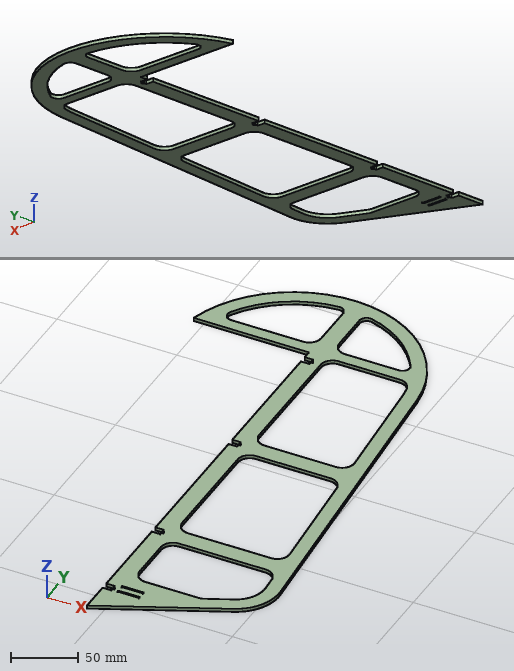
import cadquery as cq
import math

thickness = 3.0
height = 435.75
arch_radius = 99.5
arch_y = height - arch_radius
balance_y = 361.75
lean_angle = 4.525
bottom_angle = 24.9
heel_radius = 36.0

rim = 12.0
spine_width = 15.0
rib_width = 14.75
rib_centers = (108.7, 233.9)
balance_rib_width = 10.25
lowest_window_y = 46.5
window_radius = 10.0
arch_corner_radius = 6.0

hinge_centers = (28.5, *rib_centers, 351.9)
notch_width = 6.0
notch_depth = 7.0
slit_width = 1.5
slit_end = 8.5

horn_x = 12.0
horn_length = 18.0
horn_width = 1.5
horn_spacing = 6.5
horn_y = 30.0


def box(x_min, x_max, y_min, y_max):
    """Full-thickness block between the given limits."""
    return cq.Workplane("XY").box(
        x_max - x_min, y_max - y_min, thickness, centered=False
    ).translate((x_min, y_min, 0))


def outline_body(inset):
    """Outline moved inward by inset, closed by the balance edge and the hinge edge."""
    lean = math.radians(lean_angle)
    slope = math.tan(math.radians(bottom_angle))
    radius = arch_radius - inset
    tip_x = -math.sqrt(radius**2 - (balance_y - arch_y) ** 2)
    tangent = (radius * math.cos(lean), arch_y + radius * math.sin(lean))

    bottom_y = inset / math.cos(math.radians(bottom_angle))
    corner_x = (tangent[0] + (tangent[1] - bottom_y) * math.tan(lean)) / (1 + slope * math.tan(lean))
    corner = (corner_x, bottom_y + slope * corner_x)

    body = (
        cq.Workplane("XY")
        .moveTo(0, bottom_y)
        .lineTo(*corner)
        .lineTo(*tangent)
        .threePointArc((0, arch_y + radius), (tip_x, balance_y))
        .lineTo(0, balance_y)
        .close()
        .extrude(thickness)
    )
    heel = cq.selectors.NearestToPointSelector((*corner, thickness / 2))
    return body.edges("|Z").edges(heel).fillet(heel_radius - inset)


def window(x_min, x_max, y_min, y_max):
    """Opening inside the rim with sharp corners."""
    return outline_body(rim).intersect(box(x_min, x_max, y_min, y_max))


def arch_window(x_min, x_max, spine_x, arch_corners):
    """Opening under the arch; its corners on the arch are rounded tighter than the one at the spine."""
    y_min = balance_y + balance_rib_width
    spine_corner = cq.selectors.NearestToPointSelector((spine_x, y_min, thickness / 2))
    opening = window(x_min, x_max, y_min, height)
    opening = opening.edges("|Z").edges(arch_corners).fillet(arch_corner_radius)
    return opening.edges("|Z").edges(spine_corner).fillet(window_radius)


def lower_window(y_min, y_max):
    """Opening between the spine and the trailing edge, rounded at its floor and ceiling."""
    opening = window(spine_width, 2 * arch_radius, y_min, y_max)
    return opening.edges("|Z").edges("<Y or >Y").fillet(window_radius)


def hinge_notch(y):
    """Notch in the hinge edge, and the slit in its floor."""
    notch = box(0, notch_depth, y - notch_width / 2, y + notch_width / 2)
    slit = box(0, slit_end, y - slit_width / 2, y + slit_width / 2)
    return notch.union(slit)


def horn_slit(y):
    """Narrow slit along X for one tab of the control horn."""
    return box(horn_x, horn_x + horn_length, y - horn_width / 2, y + horn_width / 2)


frame = outline_body(0)

frame = frame.cut(arch_window(-arch_radius, 0, 0, "<X or >Y"))
frame = frame.cut(arch_window(spine_width, arch_radius, spine_width, ">X or >Y"))

window_floors = [lowest_window_y] + [y + rib_width / 2 for y in rib_centers]
window_ceilings = [y - rib_width / 2 for y in rib_centers] + [balance_y]
for floor_y, ceiling_y in zip(window_floors, window_ceilings):
    frame = frame.cut(lower_window(floor_y, ceiling_y))

for center_y in hinge_centers:
    frame = frame.cut(hinge_notch(center_y))

for side in (-1, 1):
    frame = frame.cut(horn_slit(horn_y + side * horn_spacing / 2))

result = frame